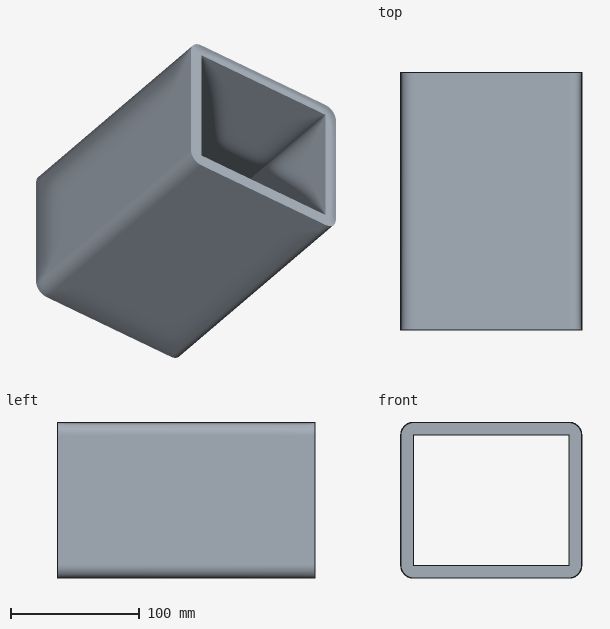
import cadquery as cq

outer_width = 140.5
length = 200.0
outer_height = 121.0
wall = 10.0
corner_radius = wall

inner_width = outer_width - 2 * wall
inner_height = outer_height - 2 * wall


def outer_body():
    """Solid bar with its four long edges rounded."""
    return cq.Workplane("XY").box(outer_width, length, outer_height).edges("|Y").fillet(corner_radius)


def bore():
    """Sharp-cornered rectangular opening through the full length."""
    return cq.Workplane("XY").box(inner_width, length, inner_height)


result = outer_body().cut(bore())